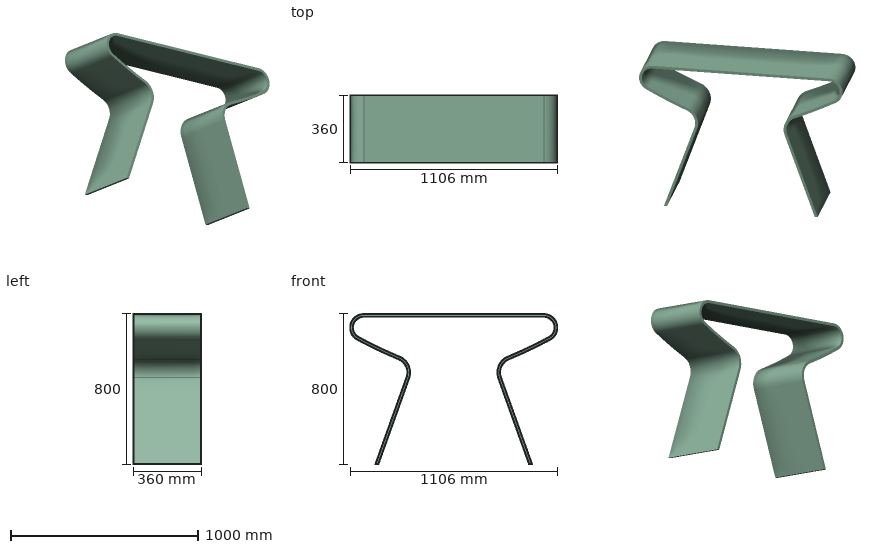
import cadquery as cq
import math

length = 1106.0
width = 360.0
height = 800.0
sheet = 15.0

top_bend_radius = 65.0
elbow_radius = 84.0

shoulder_outer_slope = math.radians(28.4)
shoulder_inner_slope = math.radians(22.5)
leg_lean = math.radians(19.7)

elbow_gap = 232.0

half_sheet = sheet / 2


def polar(center, radius, angle):
    """Point at the given angle, counterclockwise from +X, around a center in XZ."""
    return (center[0] + radius * math.cos(angle), center[1] + radius * math.sin(angle))


top_bend_center = (-length / 2 + half_sheet + top_bend_radius, height - half_sheet - top_bend_radius)
top_bend_end = -math.pi / 2 - shoulder_outer_slope
elbow_start = math.pi / 2 - shoulder_inner_slope
elbow_end = -leg_lean
shoulder_start = polar(top_bend_center, top_bend_radius, top_bend_end)

shoulder_chord_slope = (shoulder_outer_slope + shoulder_inner_slope) / 2
elbow_center_x = -elbow_gap - half_sheet - elbow_radius
shoulder_run = elbow_center_x + elbow_radius * math.cos(elbow_start) - shoulder_start[0]
shoulder_drop = shoulder_run * math.tan(shoulder_chord_slope)
elbow_center = (
    elbow_center_x,
    shoulder_start[1] - shoulder_drop - elbow_radius * math.sin(elbow_start),
)
shoulder_radius = shoulder_run / (math.sin(shoulder_outer_slope) - math.sin(shoulder_inner_slope))
shoulder_center = polar(shoulder_start, shoulder_radius, math.pi / 2 - shoulder_outer_slope)


def side_path(offset):
    """Points down the -X side, offset from the mid-line toward the underside of the top."""
    top_radius = top_bend_radius - offset
    elbow_offset_radius = elbow_radius + offset
    shoulder_offset_radius = shoulder_radius - offset
    leg_start = polar(elbow_center, elbow_offset_radius, elbow_end)
    return [
        polar(top_bend_center, top_radius, math.pi / 2),
        polar(top_bend_center, top_radius, math.pi),
        polar(top_bend_center, top_radius, top_bend_end),
        polar(shoulder_center, shoulder_offset_radius, -math.pi / 2 - shoulder_chord_slope),
        polar(elbow_center, elbow_offset_radius, elbow_start),
        polar(elbow_center, elbow_offset_radius, (elbow_start + elbow_end) / 2),
        leg_start,
        (leg_start[0] - leg_start[1] * math.tan(leg_lean), 0),
    ]


def draw_down(profile, points):
    """Draw from the middle of the top to the foot."""
    top, top_mid, top_end, shoulder_mid, elbow_first, elbow_mid, leg_top, foot = points
    return (
        profile.lineTo(*top)
        .threePointArc(top_mid, top_end)
        .threePointArc(shoulder_mid, elbow_first)
        .threePointArc(elbow_mid, leg_top)
        .lineTo(*foot)
    )


def draw_up(profile, points):
    """Draw from the foot to the end of the flat top."""
    top, top_mid, top_end, shoulder_mid, elbow_first, elbow_mid, leg_top, foot = points
    return (
        profile.lineTo(*foot)
        .lineTo(*leg_top)
        .threePointArc(elbow_mid, elbow_first)
        .threePointArc(shoulder_mid, top_end)
        .threePointArc(top_mid, top)
    )


profile = cq.Workplane("XZ").moveTo(0, height)
profile = draw_down(profile, side_path(-half_sheet))
profile = draw_up(profile, side_path(half_sheet))
profile = profile.lineTo(0, height - sheet).close()
half_bench = profile.extrude(width / 2, both=True)

result = half_bench.union(half_bench.mirror("YZ")).clean()